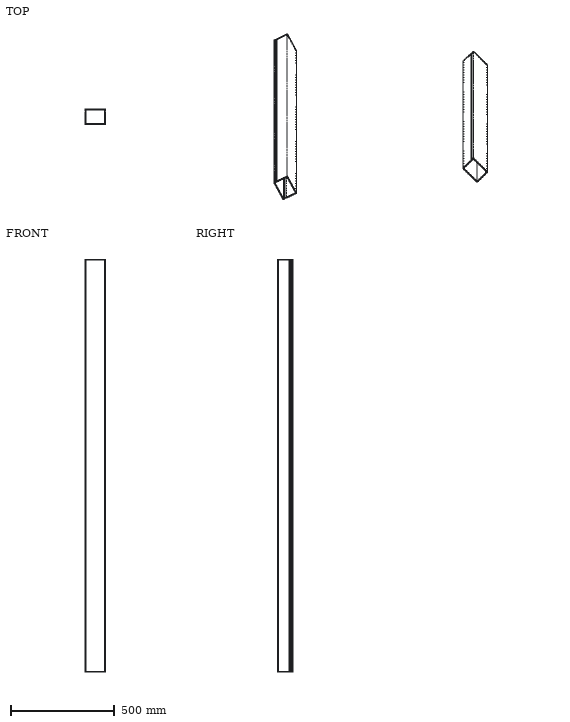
import cadquery as cq
import math

length = 2000.0
width = 100.0
depth = 75.0
wall = 4.5
corner_radius = 2.5

joint_from_lid_face = 13.0
groove_half_width = 4.8
groove_face_angle = 40.0
groove_depth = groove_half_width * math.tan(math.radians(groove_face_angle))

half_width = width / 2
half_depth = depth / 2
inner_x = half_width - wall
groove_x = half_width - groove_depth
joint_y = half_depth - joint_from_lid_face


def extrude_outline(outline):
    return cq.Workplane("XY", origin=(0, 0, -length / 2)).polyline(outline).close().extrude(length)


def make_channel(closed_y, wall_direction):
    """U-shaped channel from its closed side to the joint, open edges bevelled into the groove.

    wall_direction is +1 when the side walls run toward +Y and -1 when they run toward -Y.
    """
    bevel_y = joint_y - wall_direction * groove_half_width
    floor_y = closed_y + wall_direction * wall
    closed_side = "<Y" if wall_direction > 0 else ">Y"

    block = extrude_outline([
        (-half_width, closed_y),
        (half_width, closed_y),
        (half_width, bevel_y),
        (groove_x, joint_y),
        (-groove_x, joint_y),
        (-half_width, bevel_y),
    ])
    block = block.faces(closed_side).edges("|Z").fillet(corner_radius)

    cavity = extrude_outline([
        (-inner_x, floor_y),
        (inner_x, floor_y),
        (inner_x, joint_y),
        (-inner_x, joint_y),
    ])
    return block.cut(cavity)


base = make_channel(-half_depth, 1)

lid = make_channel(half_depth, -1)

result = cq.Compound.makeCompound([base.val(), lid.val()])